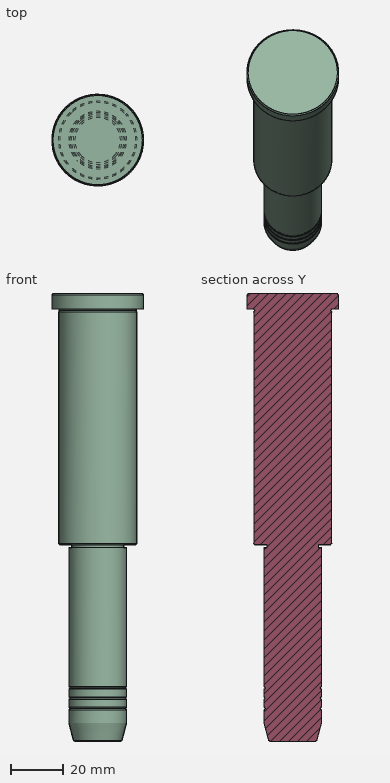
import cadquery as cq
import math

total_length = 171.0

head_diameter = 35.0
head_thickness = 6.0
head_chamfer = 0.5

body_diameter = 30.0
shoulder_depth = 96.0
body_chamfer = 0.5
relief_width = 1.0
relief_depth = 0.5

pin_diameter = 22.0
neck_length = 1.0
neck_depth = 1.0

groove_count = 3
groove_pitch = 4.0
groove_width = 1.0
groove_depth = 0.5
lowest_groove_height = 12.7

taper_length = 7.0
taper_angle = 15.0
tip_chamfer = 0.5

head_bottom = total_length - head_thickness
shoulder = total_length - shoulder_depth
pin_top = shoulder - neck_length
tip_diameter = pin_diameter - 2 * taper_length * math.tan(math.radians(taper_angle))


def cylinder(diameter, bottom, top):
    """Solid cylinder on the Z axis between two levels."""
    return cq.Workplane("XY").workplane(offset=bottom).circle(diameter / 2).extrude(top - bottom)


def ring_cut(diameter, depth, bottom, width):
    """Ring that cuts a V-shaped groove into a cylinder of the given diameter."""
    radius = diameter / 2
    profile = (
        cq.Workplane("XZ")
        .moveTo(radius, bottom)
        .lineTo(radius - depth, bottom + width / 2)
        .lineTo(radius, bottom + width)
        .close()
    )
    return profile.revolve(360, (0, 0, 0), (0, 1, 0))


def make_head():
    return cylinder(head_diameter, head_bottom, total_length).faces(">Z").chamfer(head_chamfer)


def make_body():
    body = cylinder(body_diameter, shoulder, head_bottom).faces("<Z").chamfer(body_chamfer)
    return body.cut(ring_cut(body_diameter, relief_depth, head_bottom - relief_width, relief_width))


def make_pin():
    pin = cylinder(pin_diameter, taper_length, pin_top)
    pin = pin.union(cylinder(pin_diameter - 2 * neck_depth, pin_top, shoulder))
    for index in range(groove_count):
        groove_center = lowest_groove_height + index * groove_pitch
        groove_bottom = groove_center - groove_width / 2
        pin = pin.cut(ring_cut(pin_diameter, groove_depth, groove_bottom, groove_width))
    return pin


def make_tip():
    tip = (
        cq.Workplane("XY")
        .circle(tip_diameter / 2)
        .workplane(offset=taper_length)
        .circle(pin_diameter / 2)
        .loft()
    )
    return tip.faces("<Z").chamfer(tip_chamfer)


result = make_head().union(make_body()).union(make_pin()).union(make_tip())